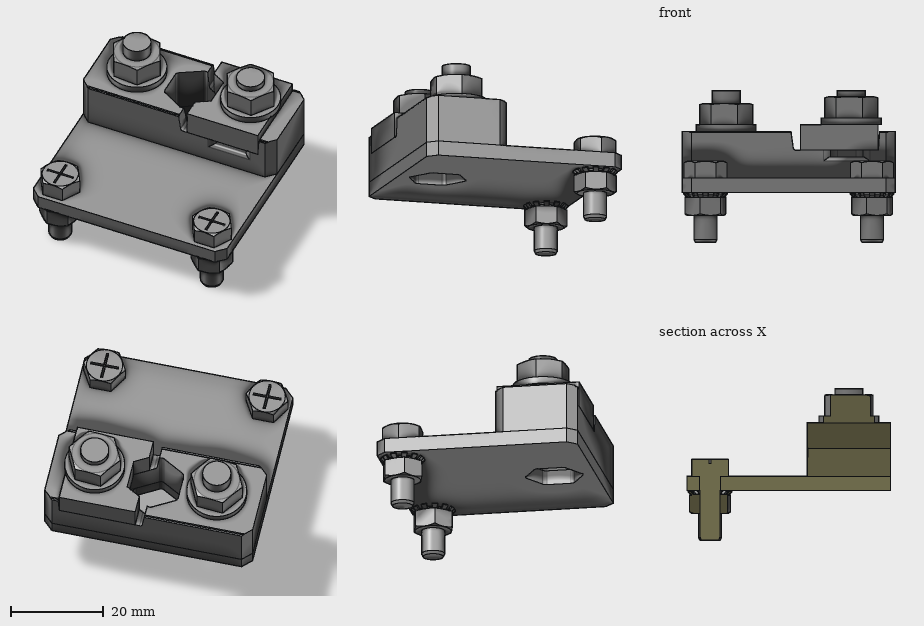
import cadquery as cq
import math

LENGTH = 46.0
WIDTH = 44.0
CORNER_CHAMFER = 2.02

PLATE_THICKNESS = 3.15

BLOCK_DEPTH = 18.05
BLOCK_TOP = 13.2
LEDGE_WIDTH = 0.35
LEDGE_DROP = 0.2
BLOCK_FRONT = WIDTH - BLOCK_DEPTH
BLOCK_MIDDLE_Y = WIDTH - BLOCK_DEPTH / 2

CHANNEL_FLOOR = 9.15
CHANNEL_LEFT_TOP = 23.5
CHANNEL_LEFT_BOTTOM = 24.05
CHANNEL_RIGHT_BOTTOM = 42.3
CHANNEL_RIGHT_TOP = 42.6
CHANNEL_FLOOR_RADIUS = 0.6

RECESS_CENTER_X = 35.5
RECESS_WIDTH = 7.0
RECESS_DEPTH = 3.5
RECESS_FLOOR = CHANNEL_FLOOR - 1.45
RECESS_SIDE_RADIUS = 1.5
RECESS_LIP_RADIUS = 0.87

CLAMP_LEFT = 25.55
CLAMP_THICKNESS = 5.5
CLAMP_TOP = CHANNEL_FLOOR + CLAMP_THICKNESS

OPENING_X = LENGTH / 2
OPENING_ACROSS_FLATS = 11.2
OPENING_CORNER_RADIUS = 1.0
BLOCK_OPENING_EXTRA = 1.0

STUD_DIAMETER = 6.05
STUD_TOP = 22.05
STUD_SPACING = 27.0
LEFT_STUD_X = (LENGTH - STUD_SPACING) / 2
RIGHT_STUD_X = LENGTH - LEFT_STUD_X

BEVEL_CIRCLE_SHARE = 0.98

FLANGE_DIAMETER = 12.95
FLANGE_THICKNESS = 1.45
FLANGE_NUT_HEIGHT = 6.03
FLANGE_NUT_ACROSS_FLATS = 10.05
FLANGE_NUT_ANGLE = -4.7
FLANGE_NUT_BEVEL_ANGLE = 15

BOLT_INSET = 5.0
BOLT_DIAMETER = 5.0
BOLT_BOTTOM = -10.75
BOLT_TIP_CHAMFER = 0.3
BOLT_TIP_CHAMFER_HEIGHT = 0.65
BOLT_HEAD_HEIGHT = 3.7
BOLT_HEAD_ACROSS_FLATS = 8.0
BOLT_HEAD_BEVEL_ANGLE = 30
CROSS_LENGTH = 6.05
CROSS_WIDTH = 0.4
CROSS_DEPTH = 0.9
BOLT_PLACES = [(BOLT_INSET, BOLT_INSET), (LENGTH - BOLT_INSET, BOLT_INSET)]

LOCK_NUT_ANGLE = 15.3
LOCK_NUT_BOTTOM = -4.95
LOCK_NUT_ACROSS_FLATS = 7.95
LOCK_NUT_BEVEL_ANGLE = 30
WASHER_HEIGHT = 1.05
WASHER_WEB_THICKNESS = 0.28
WASHER_CONE_BASE_RADIUS = 4.1
WASHER_TIP_RADIUS = 4.85
WASHER_RIM_RADIUS = 4.55
WASHER_RIM_DROP = 0.28
TOOTH_COUNT = 12
TOOTH_GAP_ANGLE = 15


def hexagon_prism(across_flats, bottom, top):
    """Upright hexagonal prism on the Z axis, with one corner on +X."""
    across_corners = across_flats / math.cos(math.radians(30))
    return cq.Workplane("XY").workplane(offset=bottom).polygon(6, across_corners).extrude(top - bottom)


def bevelled_hexagon(across_flats, bottom, top, bevel_angle, bevel_top):
    """Hexagonal prism whose corners are cut off by a shallow cone at one end."""
    corner_radius = across_flats / 2 / math.cos(math.radians(30))
    circle_radius = across_flats / 2 * BEVEL_CIRCLE_SHARE
    drop = (corner_radius - circle_radius) * math.tan(math.radians(bevel_angle))
    bevel_end, flat_end = (top, bottom) if bevel_top else (bottom, top)
    bevel_start = top - drop if bevel_top else bottom + drop
    turned_blank = (
        cq.Workplane("XZ")
        .moveTo(0, flat_end)
        .lineTo(corner_radius, flat_end)
        .lineTo(corner_radius, bevel_start)
        .lineTo(circle_radius, bevel_end)
        .lineTo(0, bevel_end)
        .close()
        .revolve(360, (0, 0, 0), (0, 1, 0))
    )
    return hexagon_prism(across_flats, bottom, top).intersect(turned_blank)


def cylinder(diameter, bottom, top):
    return cq.Workplane("XY").workplane(offset=bottom).circle(diameter / 2).extrude(top - bottom)


def hexagonal_opening(bottom, top, extra_right=0):
    """Cutter for the opening, with corners on the front and rear.

    The right wall moves out by extra_right while the sloping walls run on to meet it.
    """
    left = -OPENING_ACROSS_FLATS / 2
    right = OPENING_ACROSS_FLATS / 2 + extra_right
    slope = math.tan(math.radians(30))
    tip = OPENING_ACROSS_FLATS / 2 / math.cos(math.radians(30))
    left_corner = tip + left * slope
    right_corner = tip - right * slope
    return (
        cq.Workplane("XY", origin=(OPENING_X, BLOCK_MIDDLE_Y, bottom))
        .moveTo(0, tip)
        .lineTo(left, left_corner)
        .lineTo(left, -left_corner)
        .lineTo(0, -tip)
        .lineTo(right, -right_corner)
        .lineTo(right, right_corner)
        .close()
        .extrude(top - bottom)
    )


def rounded_opening(bottom, top, extra_right=0):
    return hexagonal_opening(bottom, top, extra_right).edges("|Z").fillet(OPENING_CORNER_RADIUS)


def make_plate():
    plate = cq.Workplane("XY").box(LENGTH, WIDTH, PLATE_THICKNESS, centered=False)
    plate = plate.edges("|Z").chamfer(CORNER_CHAMFER)
    plate = plate.cut(rounded_opening(0, PLATE_THICKNESS))
    for x, y in BOLT_PLACES:
        plate = plate.cut(cylinder(BOLT_DIAMETER, 0, PLATE_THICKNESS).translate((x, y, 0)))
    return plate


def block_channel():
    """Cutter for the channel, with a round along the foot of its left wall."""
    return (
        cq.Workplane("XZ", origin=(0, WIDTH, 0))
        .moveTo(CHANNEL_LEFT_TOP, BLOCK_TOP)
        .lineTo(CHANNEL_LEFT_BOTTOM, CHANNEL_FLOOR)
        .lineTo(CHANNEL_RIGHT_BOTTOM, CHANNEL_FLOOR)
        .lineTo(CHANNEL_RIGHT_TOP, BLOCK_TOP)
        .close()
        .extrude(BLOCK_DEPTH)
        .edges("|Y")
        .edges(cq.selectors.NearestToPointSelector((CHANNEL_LEFT_BOTTOM, BLOCK_MIDDLE_Y, CHANNEL_FLOOR)))
        .fillet(CHANNEL_FLOOR_RADIUS)
    )


def front_recess():
    """Cutter for the recess: sides flare out to the front and the floor rolls down over a lip."""
    radius = RECESS_SIDE_RADIUS
    half_width = RECESS_WIDTH / 2
    height = CHANNEL_FLOOR - RECESS_FLOOR + RECESS_LIP_RADIUS
    plan = (
        cq.Workplane("XY", origin=(RECESS_CENTER_X, BLOCK_FRONT, CHANNEL_FLOOR - height))
        .moveTo(-half_width - radius, 0)
        .radiusArc((-half_width, radius), -radius)
        .lineTo(-half_width, RECESS_DEPTH - radius)
        .radiusArc((-half_width + radius, RECESS_DEPTH), radius)
        .lineTo(half_width - radius, RECESS_DEPTH)
        .radiusArc((half_width, RECESS_DEPTH - radius), radius)
        .lineTo(half_width, radius)
        .radiusArc((half_width + radius, 0), -radius)
        .close()
        .extrude(height)
    )
    profile = (
        cq.Workplane("YZ", origin=(RECESS_CENTER_X, BLOCK_FRONT, RECESS_FLOOR))
        .moveTo(0, -RECESS_LIP_RADIUS)
        .radiusArc((RECESS_LIP_RADIUS, 0), RECESS_LIP_RADIUS)
        .lineTo(RECESS_DEPTH, 0)
        .lineTo(RECESS_DEPTH, height)
        .lineTo(0, height)
        .close()
        .extrude(half_width + radius, both=True)
    )
    return plan.intersect(profile)


def block_body():
    """Block with cut-off corners and a low ledge, ending in a 45 degree slope, along its long top edges."""
    ledge_height = BLOCK_TOP - LEDGE_DROP
    slope_end = LEDGE_WIDTH + LEDGE_DROP
    profile = (
        cq.Workplane("YZ")
        .moveTo(BLOCK_FRONT, PLATE_THICKNESS)
        .lineTo(BLOCK_FRONT, ledge_height)
        .lineTo(BLOCK_FRONT + LEDGE_WIDTH, ledge_height)
        .lineTo(BLOCK_FRONT + slope_end, BLOCK_TOP)
        .lineTo(WIDTH - slope_end, BLOCK_TOP)
        .lineTo(WIDTH - LEDGE_WIDTH, ledge_height)
        .lineTo(WIDTH, ledge_height)
        .lineTo(WIDTH, PLATE_THICKNESS)
        .close()
        .extrude(LENGTH)
    )
    plan = cq.Workplane("XY", origin=(0, BLOCK_FRONT, PLATE_THICKNESS)).box(
        LENGTH, BLOCK_DEPTH, BLOCK_TOP - PLATE_THICKNESS, centered=False
    )
    return profile.intersect(plan.edges("|Z").chamfer(CORNER_CHAMFER))


def make_block():
    block = block_body()
    block = block.cut(block_channel())
    block = block.cut(front_recess())
    block = block.cut(rounded_opening(PLATE_THICKNESS, BLOCK_TOP, BLOCK_OPENING_EXTRA))
    for x in (LEFT_STUD_X, RIGHT_STUD_X):
        stud = cylinder(STUD_DIAMETER, PLATE_THICKNESS, STUD_TOP)
        block = block.union(stud.translate((x, BLOCK_MIDDLE_Y, 0)))
    return block


def make_clamp():
    clamp = cq.Workplane("XY", origin=(CLAMP_LEFT, BLOCK_FRONT, CHANNEL_FLOOR)).box(
        CHANNEL_RIGHT_BOTTOM - CLAMP_LEFT, BLOCK_DEPTH, CLAMP_THICKNESS, centered=False
    )
    clamp = clamp.cut(hexagonal_opening(CHANNEL_FLOOR, CLAMP_TOP))
    stud_hole = cylinder(STUD_DIAMETER, CHANNEL_FLOOR, CLAMP_TOP)
    return clamp.cut(stud_hole.translate((RIGHT_STUD_X, BLOCK_MIDDLE_Y, 0)))


def make_flange_nut(x, seat):
    nut = bevelled_hexagon(
        FLANGE_NUT_ACROSS_FLATS, 0, FLANGE_NUT_HEIGHT, FLANGE_NUT_BEVEL_ANGLE, bevel_top=True
    )
    nut = nut.union(cylinder(FLANGE_DIAMETER, 0, FLANGE_THICKNESS))
    nut = nut.cut(cylinder(STUD_DIAMETER, 0, FLANGE_NUT_HEIGHT))
    return nut.rotate((0, 0, 0), (0, 0, 1), FLANGE_NUT_ANGLE).translate((x, BLOCK_MIDDLE_Y, seat))


def make_bolt(x, y):
    head_top = PLATE_THICKNESS + BOLT_HEAD_HEIGHT
    shank = (
        cylinder(BOLT_DIAMETER, BOLT_BOTTOM, PLATE_THICKNESS)
        .faces("<Z")
        .chamfer(BOLT_TIP_CHAMFER_HEIGHT, BOLT_TIP_CHAMFER)
    )
    bolt = shank.union(
        bevelled_hexagon(
            BOLT_HEAD_ACROSS_FLATS, PLATE_THICKNESS, head_top, BOLT_HEAD_BEVEL_ANGLE, bevel_top=True
        )
    )
    for angle in (0, 90):
        slot = cq.Workplane("XY", origin=(0, 0, head_top - CROSS_DEPTH / 2)).box(
            CROSS_LENGTH, CROSS_WIDTH, CROSS_DEPTH
        )
        bolt = bolt.cut(slot.rotate((0, 0, 0), (0, 0, 1), angle))
    return bolt.translate((x, y, 0))


def toothed_washer():
    """Flat web with a ring of teeth that flare up to the underside of the plate."""
    rim_inner_base = WASHER_RIM_RADIUS - WASHER_HEIGHT
    cone = (
        cq.Workplane("XZ")
        .moveTo(rim_inner_base, -WASHER_HEIGHT)
        .lineTo(WASHER_CONE_BASE_RADIUS, -WASHER_HEIGHT)
        .lineTo(WASHER_TIP_RADIUS, -WASHER_RIM_DROP)
        .lineTo(WASHER_RIM_RADIUS, 0)
        .close()
        .revolve(360, (0, 0, 0), (0, 1, 0))
    )
    gap_reach = 2 * WASHER_TIP_RADIUS
    gap_half_width = gap_reach * math.tan(math.radians(TOOTH_GAP_ANGLE / 2))
    for index in range(TOOTH_COUNT):
        gap = (
            cq.Workplane("XY", origin=(0, 0, -WASHER_HEIGHT))
            .polyline([(0, 0), (gap_reach, -gap_half_width), (gap_reach, gap_half_width)])
            .close()
            .extrude(WASHER_HEIGHT)
        )
        cone = cone.cut(gap.rotate((0, 0, 0), (0, 0, 1), (index + 0.5) * 360 / TOOTH_COUNT))
    web_top = -WASHER_HEIGHT + WASHER_WEB_THICKNESS
    return cone.union(cylinder(2 * WASHER_CONE_BASE_RADIUS, -WASHER_HEIGHT, web_top))


def make_lock_nut(x, y):
    nut = bevelled_hexagon(
        LOCK_NUT_ACROSS_FLATS, LOCK_NUT_BOTTOM, -WASHER_HEIGHT, LOCK_NUT_BEVEL_ANGLE, bevel_top=False
    )
    nut = nut.union(toothed_washer())
    nut = nut.cut(cylinder(BOLT_DIAMETER, LOCK_NUT_BOTTOM, 0))
    return nut.rotate((0, 0, 0), (0, 0, 1), LOCK_NUT_ANGLE).translate((x, y, 0))


plate = make_plate()
block = make_block()
clamp = make_clamp()
flange_nuts = [make_flange_nut(x, seat) for x, seat in [(LEFT_STUD_X, BLOCK_TOP), (RIGHT_STUD_X, CLAMP_TOP)]]
bolts = [make_bolt(x, y) for x, y in BOLT_PLACES]
lock_nuts = [make_lock_nut(x, y) for x, y in BOLT_PLACES]

result = cq.Compound.makeCompound(
    [plate.val(), block.val(), clamp.val()]
    + [body.val() for body in flange_nuts + bolts + lock_nuts]
)